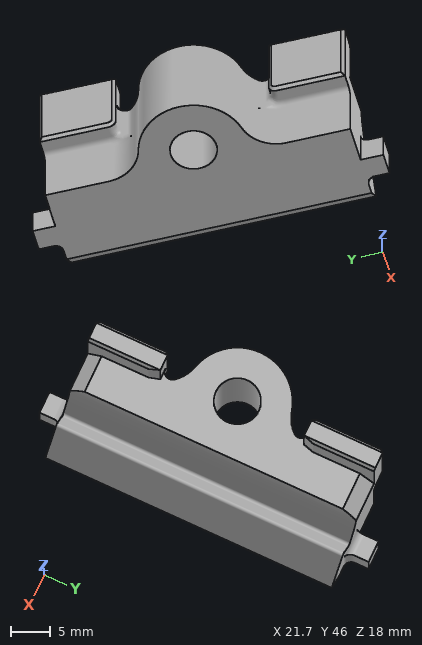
import cadquery as cq
import math

half_length = 23.0
body_half_length = 20.0
body_height = 13.0
wall_x = 2.0

boss_radius = 7.0
hole_diameter = 6.0
blend_radius = 5.0

pad_back_x = -1.0
pad_bottom = 8.0
pad_top = 18.0
pad_length = 10.0
pad_bevel = 0.4
pad_root_radius = 1.0
pad_corner_radius = 1.0
pad_relief_length = 1.45

jaw_top_x = 7.1
jaw_arc_middle = (7.8, 9.0)
valley = (9.48, 5.65)
ridge = (11.2, 7.75)
valley_radius = 0.4
ridge_radius = 0.4
nose_x = 14.67
nose_height = 2.3
end_slope = 2.0

peg_x = 7.0
peg_width = 3.0
peg_height = 4.0
peg_root_radius = 1.0


def box(x_min, x_max, y_min, y_max, z_min, z_max):
    size = (x_max - x_min, y_max - y_min, z_max - z_min)
    return cq.Workplane("XY").box(*size, centered=False).translate((x_min, y_min, z_min))


def make_bar():
    bar = (
        cq.Workplane("XZ", origin=(0, body_half_length, 0))
        .moveTo(wall_x, 0)
        .lineTo(wall_x, body_height)
        .lineTo(jaw_top_x, body_height)
        .threePointArc(jaw_arc_middle, valley)
        .lineTo(*ridge)
        .lineTo(nose_x, nose_height)
        .lineTo(nose_x - nose_height, 0)
        .close()
        .extrude(2 * body_half_length)
    )
    for (x, z), radius in ((valley, valley_radius), (ridge, ridge_radius)):
        bar = bar.edges(cq.NearestToPointSelector((x, 0, z))).fillet(radius)
    return bar


def make_boss():
    """Round boss whose sides run tangentially into the back wall."""
    blend_x = wall_x - blend_radius
    center_distance = boss_radius + blend_radius
    blend_y = math.sqrt(center_distance**2 - blend_x**2)
    tangent_x = blend_x * boss_radius / center_distance
    tangent_y = blend_y * boss_radius / center_distance
    middle_angle = math.atan2(-blend_y, -blend_x) / 2
    middle_x = blend_x + blend_radius * math.cos(middle_angle)
    middle_y = blend_y + blend_radius * math.sin(middle_angle)
    inside_x = wall_x + 0.45
    return (
        cq.Workplane("XY")
        .moveTo(inside_x, -blend_y)
        .lineTo(wall_x, -blend_y)
        .threePointArc((middle_x, -middle_y), (tangent_x, -tangent_y))
        .threePointArc((-boss_radius, 0), (tangent_x, tangent_y))
        .threePointArc((middle_x, middle_y), (wall_x, blend_y))
        .lineTo(inside_x, blend_y)
        .close()
        .extrude(body_height)
    )


def nearest_edge(body, point):
    return body.edges(cq.NearestToPointSelector(point)).val()


def add_pad(body):
    """Add the pad at the -Y end, rounding its roots before raising it above the body."""
    inner_y = pad_length - body_half_length
    middle_y = inner_y - pad_length / 2
    body = body.union(box(pad_back_x, wall_x, -body_half_length, inner_y, pad_bottom, body_height))

    under_root = nearest_edge(body, (wall_x, middle_y, pad_bottom))
    side_root = nearest_edge(body, (wall_x, inner_y, (pad_bottom + body_height) / 2))
    body = body.newObject([under_root, side_root]).fillet(pad_root_radius)
    corner = nearest_edge(body, (pad_back_x / 2, inner_y, pad_bottom))
    body = body.newObject([corner]).fillet(pad_corner_radius)

    upper = box(pad_back_x, wall_x, -body_half_length, inner_y, body_height, pad_top)
    upper = upper.edges(">X and >Z").chamfer(pad_bevel)
    body = body.union(upper).clean()

    face_middle = (pad_back_x, middle_y, (pad_bottom + pad_top) / 2)
    pad_face = body.faces(cq.NearestToPointSelector(face_middle))
    body = pad_face.edges().chamfer(pad_bevel)

    relief = (
        cq.Workplane("XY", origin=(0, 0, body_height))
        .moveTo(wall_x - pad_bevel, inner_y)
        .lineTo(wall_x, inner_y - pad_relief_length)
        .lineTo(wall_x, inner_y)
        .close()
        .extrude(pad_top - body_height)
    )
    return body.cut(relief)


def cut_end_slope(body):
    """Slope the top of the -Y end, beside the pad."""
    cutter = (
        cq.Workplane("YZ", origin=(wall_x, 0, 0))
        .moveTo(end_slope - body_half_length, body_height)
        .lineTo(-body_half_length, body_height)
        .lineTo(-body_half_length, body_height - end_slope)
        .close()
        .extrude(nose_x - wall_x)
    )
    return body.cut(cutter)


def add_peg(body):
    """Add the peg on the -Y end, rounding its roots above and toward the nose."""
    peg_end_x = peg_x + peg_width
    body = body.union(box(peg_x, peg_end_x, -half_length, -body_half_length, 0, peg_height))
    top_root = nearest_edge(body, (peg_x + peg_width / 2, -body_half_length, peg_height))
    side_root = nearest_edge(body, (peg_end_x, -body_half_length, peg_height / 2))
    return body.newObject([top_root, side_root]).fillet(peg_root_radius)


body = make_bar().union(make_boss())
body = add_pad(body)
body = cut_end_slope(body)
body = add_peg(body)
half = body.intersect(box(-boss_radius, nose_x, -half_length, 0, 0, pad_top))
body = half.union(half.mirror("XZ")).clean()
hole = cq.Workplane("XY").circle(hole_diameter / 2).extrude(body_height)
result = body.cut(hole)